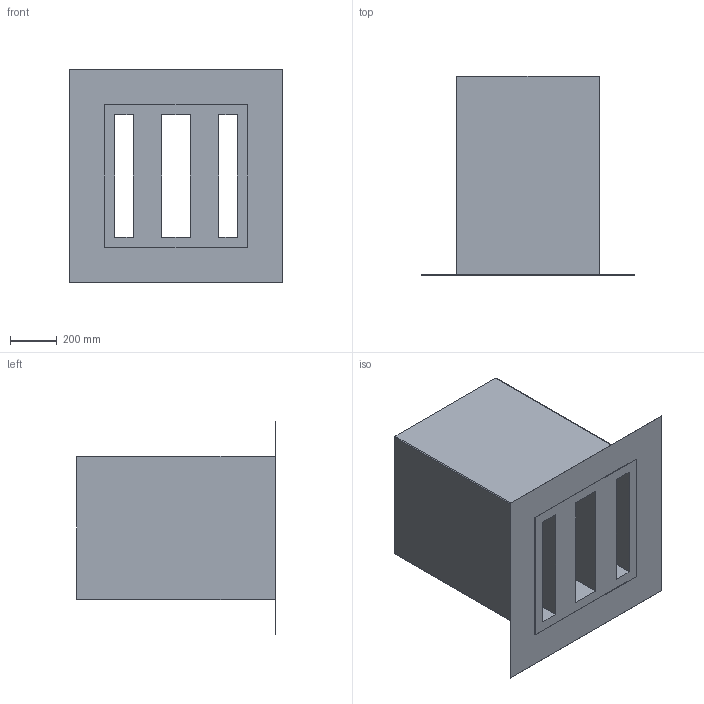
import cadquery as cq

flange_size = 915.0
flange_thickness = 1.0
flange_border = 150.0

total_depth = 850.0
block_size = flange_size - 2 * flange_border
block_corner_radius = 3.0

channel_margin = 46.0
channel_field = block_size - 2 * channel_margin
channel_height = channel_field
middle_channel_width = 122.0
side_channel_width = 78.0
side_channel_offset = (channel_field - side_channel_width) / 2

front_y = -total_depth / 2


def box_from_front(width, height, depth, center_x=0.0):
    """Box centred on Z that starts at the front plane and runs back along +Y."""
    box = cq.Workplane("XY").box(width, depth, height, centered=(True, False, True))
    return box.translate((center_x, front_y, 0))


def make_block():
    """Full-depth block with its four long edges rounded."""
    block = box_from_front(block_size, block_size, total_depth)
    return block.edges("|Y").fillet(block_corner_radius)


def make_flange(block):
    """Thin square plate with an opening that fits the block."""
    plate = box_from_front(flange_size, flange_size, flange_thickness)
    return plate.cut(block)


def cut_channels(body):
    """Cut one wide middle channel and a narrower one on each side of it."""
    channels = (
        (-side_channel_offset, side_channel_width),
        (0.0, middle_channel_width),
        (side_channel_offset, side_channel_width),
    )
    for center_x, width in channels:
        channel = box_from_front(width, channel_height, total_depth, center_x)
        body = body.cut(channel, clean=False)
    return body


block = make_block()
body = make_flange(block).union(block, clean=False)
result = cut_channels(body)